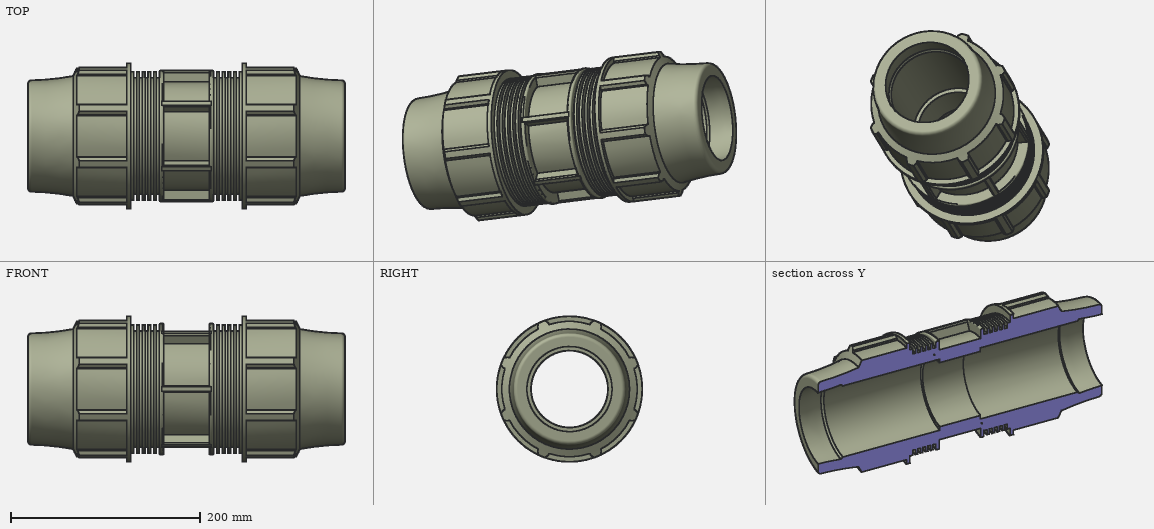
import cadquery as cq
import math


half_length = 335 / 2
bore_radius = 81 / 2
socket_radius = 90 / 2

barrel_radius = 57.5
collar_radius = 138.6 / 2
collar_inner_x = 24
collar_width = 4.6
collar_fillet = 1.5
rib_count = 6
rib_base_width = 6.6
rib_top_width = 5
rib_bevel_height = 2.2

thread_root_radius = 123.2 / 2
thread_crest_radius = 135.83 / 2
ring_count = 5
ring_width = 3
ring_pitch = 6

flange_inner_x = 58.7
flange_width = 4.5
flange_radius = 154 / 2
panel_radius = 71.5
shoulder_radius = 63.5
shoulder_length = 6.5
nut_end_x = 119.8
grip_count = 8
grip_base_width = 12.2
grip_top_width = 7.2
grip_bevel_height = 3.8

recess_radius = 47
recess_widest_depth = 26.8
recess_depth = 29.3

nose_tip_radius = 59
nose_fillet = 4
nose_sag = 0.9

collar_middle_x = collar_inner_x + collar_width / 2
collar_outer_x = collar_inner_x + collar_width
flange_outer_x = flange_inner_x + flange_width
shoulder_start_x = nut_end_x - shoulder_length
pipe_stop_x = collar_inner_x
nose_fillet_x = half_length - nose_fillet


def disc(x_start, x_end, radius):
    """Solid disc around the X axis between two X positions."""
    return cq.Workplane("YZ").workplane(offset=x_start).circle(radius).extrude(x_end - x_start)


def bevelled_ribs(x_start, x_end, count, first_angle, base_width, top_width, top_radius, bevel_height):
    """Ribs spaced evenly around the X axis, bevelled along both edges of a flat top."""
    bevel_radius = top_radius - bevel_height
    blade = (
        cq.Workplane("YZ")
        .workplane(offset=x_start)
        .moveTo(0, -base_width / 2)
        .lineTo(bevel_radius, -base_width / 2)
        .lineTo(top_radius, -top_width / 2)
        .lineTo(top_radius, top_width / 2)
        .lineTo(bevel_radius, base_width / 2)
        .lineTo(0, base_width / 2)
        .close()
        .extrude(x_end - x_start)
    )
    ribs = cq.Workplane("YZ")
    for index in range(count):
        angle = first_angle + index * 360 / count
        ribs = ribs.union(blade.rotate((0, 0, 0), (1, 0, 0), angle))
    return ribs


def nut_blank():
    """Nut without its panels: a full-radius drum ending in the sloped shoulder."""
    return (
        cq.Workplane("XY")
        .moveTo(flange_inner_x, 0)
        .lineTo(flange_inner_x, flange_radius)
        .lineTo(shoulder_start_x, flange_radius)
        .lineTo(nut_end_x, shoulder_radius)
        .lineTo(nut_end_x, 0)
        .close()
        .revolve(360, (0, 0, 0), (1, 0, 0))
    )


def nut_panels():
    """Material removed between the grips, down to the panel radius."""
    half_step = 360 / grip_count / 2
    clearance_radius = flange_radius + grip_bevel_height
    grips = bevelled_ribs(
        flange_outer_x, nut_end_x, grip_count, half_step,
        grip_base_width, grip_top_width, flange_radius, grip_bevel_height,
    )
    sleeve = disc(flange_outer_x, nut_end_x, clearance_radius)
    return sleeve.cut(disc(flange_outer_x, nut_end_x, panel_radius)).cut(grips)


def nose():
    """Slightly hollow taper from the nut shoulder to the rounded mouth."""
    middle_x = (nut_end_x + nose_fillet_x) / 2
    middle_radius = (shoulder_radius + nose_tip_radius) / 2 - nose_sag
    fillet_centre_radius = nose_tip_radius - nose_fillet
    fillet_reach = nose_fillet * math.sqrt(0.5)
    return (
        cq.Workplane("XY")
        .moveTo(nut_end_x, 0)
        .lineTo(nut_end_x, shoulder_radius)
        .threePointArc((middle_x, middle_radius), (nose_fillet_x, nose_tip_radius))
        .threePointArc(
            (nose_fillet_x + fillet_reach, fillet_centre_radius + fillet_reach),
            (half_length, fillet_centre_radius),
        )
        .lineTo(half_length, 0)
        .close()
        .revolve(360, (0, 0, 0), (1, 0, 0))
    )


def thread():
    """Thread core with its rings, running from the collar to the nut flange."""
    core = disc(collar_inner_x, flange_inner_x, thread_root_radius)
    for index in range(ring_count):
        ring_end = flange_inner_x - index * ring_pitch
        core = core.union(disc(ring_end - ring_width, ring_end, thread_crest_radius))
    return core


def collar():
    """Rounded collar at the end of the barrel."""
    return disc(collar_inner_x, collar_outer_x, collar_radius).edges().fillet(collar_fillet)


def barrel():
    """Barrel whose ribs run into the collars; one pair of ribs points along Y."""
    ribs = bevelled_ribs(
        -collar_middle_x, collar_middle_x, rib_count, 0,
        rib_base_width, rib_top_width, collar_radius, rib_bevel_height,
    )
    return disc(-collar_middle_x, collar_middle_x, barrel_radius).union(ribs)


def end_half():
    """Everything from one collar outwards, still without the bore."""
    nut = nut_blank().cut(nut_panels())
    return thread().union(collar()).union(nut).union(nose())


def socket():
    """Pipe socket at one end: a recess behind the mouth, then a plain bore to the pipe stop."""
    return (
        cq.Workplane("XY")
        .moveTo(pipe_stop_x, 0)
        .lineTo(pipe_stop_x, socket_radius)
        .lineTo(half_length - recess_depth, socket_radius)
        .lineTo(half_length - recess_widest_depth, recess_radius)
        .lineTo(half_length, socket_radius)
        .lineTo(half_length, 0)
        .close()
        .revolve(360, (0, 0, 0), (1, 0, 0))
    )


def bore():
    """Through bore with a pipe socket at each end."""
    return disc(-half_length, half_length, bore_radius).union(socket()).union(socket().mirror("YZ"))


end = end_half()
result = barrel().union(end).union(end.mirror("YZ")).cut(bore())